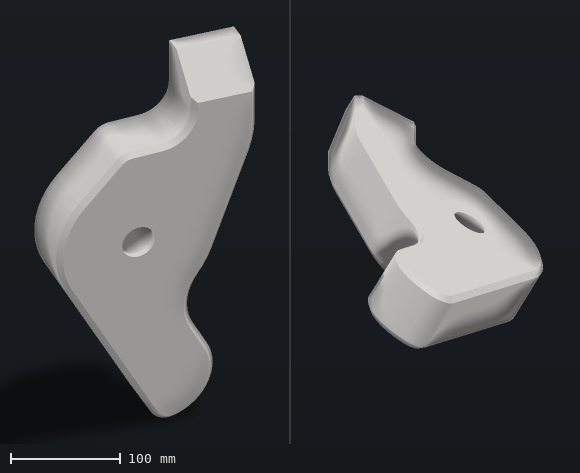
import cadquery as cq
import math

thickness = 60.0
pivot_diameter = 32.2
hub_radius = 80.0

back_y = 117.5
arm_front_y = 53.7
arm_top_front_z = 176.0
arm_top_back_z = 173.5
ledge_z = 99.8
back_bend_z = 84.5
back_slope = 20.5
hub_slope = 45.7

leg_slope = 28.0
heel_y = 25.7
heel_z = -158.5
heel_radius = 50.0
throat_radius = 50.0
throat_straight = 29.0

inner_radius = 29.5
ledge_radius = 20.0
back_radius = 99.8
elbow_radius = 99.8
toe_radius = 20.0

side_chamfer = 5.0
top_chamfer = 7.3
top_bevel = 37.2


def direction(degrees):
    """Unit vector in the YZ plane, measured from +Y towards +Z."""
    angle = math.radians(degrees)
    return cq.Vector(math.cos(angle), math.sin(angle))


def line_meets_circle(start, heading, center, radius, leaving=False):
    """Point where a line along a unit heading enters, or leaves, a circle."""
    along = (center - start).dot(heading)
    offset = (center - start - heading * along).Length
    half_chord = math.sqrt(radius**2 - offset**2)
    return start + heading * (along + half_chord if leaving else along - half_chord)


def yz(point):
    """Plain pair of Y and Z for a sketch call."""
    return (point.x, point.y)


hub_upper_normal = direction(90 + hub_slope)
leg_normal = direction(180 + leg_slope)
leg_up = direction(90 + leg_slope)
hub_upper = hub_upper_normal * hub_radius
hub_lower = leg_normal * hub_radius
hub_front = cq.Vector(-hub_radius, 0)
ledge_end_y = (hub_radius - ledge_z * hub_upper_normal.y) / hub_upper_normal.x

heel = cq.Vector(heel_y, heel_z)
heel_tangent = heel - leg_normal * heel_radius
throat_tangent = heel_tangent + leg_up * throat_straight
throat = throat_tangent - leg_normal * throat_radius
leg_tip = line_meets_circle(hub_lower, leg_up * -1, heel, heel_radius, leaving=True)
heel_back = heel + direction(-60) * heel_radius

back_bend = cq.Vector(back_y, back_bend_z)
back_heading = direction(-90 - back_slope)
elbow = line_meets_circle(back_bend, back_heading, throat, throat_radius)
throat_mid = throat + direction(180) * throat_radius

arm_top_back = cq.Vector(back_y, arm_top_back_z)
arm_top_front = cq.Vector(arm_front_y, arm_top_front_z)
inner_corner = cq.Vector(arm_front_y, ledge_z)
ledge_end = cq.Vector(ledge_end_y, ledge_z)


def round_corner(body, corner, radius):
    """Round the edge along X that passes through an outline corner."""
    edge = cq.selectors.NearestToPointSelector((thickness / 2, corner.x, corner.y))
    return body.edges("|X").edges(edge).fillet(radius)


plate = (
    cq.Workplane("YZ")
    .moveTo(*yz(arm_top_back))
    .lineTo(*yz(arm_top_front))
    .lineTo(*yz(inner_corner))
    .lineTo(*yz(ledge_end))
    .lineTo(*yz(hub_upper))
    .threePointArc(yz(hub_front), yz(hub_lower))
    .lineTo(*yz(leg_tip))
    .threePointArc(yz(heel_back), yz(heel_tangent))
    .lineTo(*yz(throat_tangent))
    .threePointArc(yz(throat_mid), yz(elbow))
    .lineTo(*yz(back_bend))
    .close()
    .extrude(thickness)
)

for corner, radius in (
    (inner_corner, inner_radius),
    (ledge_end, ledge_radius),
    (leg_tip, toe_radius),
    (elbow, elbow_radius),
    (back_bend, back_radius),
):
    plate = round_corner(plate, corner, radius)

top_mid = (arm_top_back + arm_top_front) * 0.5
for side, x in (("<X", 0), (">X", thickness)):
    top_edge = cq.selectors.NearestToPointSelector((x, top_mid.x, top_mid.y))
    outline = plate.faces(side).edges(cq.selectors.InverseSelector(top_edge))
    plate = outline.chamfer(side_chamfer)


def top_wedge(side_x, inward, size):
    """45 degree wedge along the sloping top edge, at one side of the plate."""
    slope = (arm_top_front_z - arm_top_back_z) / (back_y - arm_front_y)
    front_y = -hub_radius
    length = back_y - front_y
    front_z = arm_top_front_z + slope * (arm_front_y - front_y)
    return (
        cq.Workplane("XZ", origin=(side_x, front_y, front_z))
        .polyline([(0, -size), (inward * size, 0), (0, 0)])
        .close()
        .sweep(cq.Workplane("YZ").lineTo(length, -slope * length))
    )


plate = plate.cut(top_wedge(0, 1, top_chamfer))
plate = plate.cut(top_wedge(thickness, -1, top_bevel))

pivot_hole = cq.Workplane("YZ").circle(pivot_diameter / 2).extrude(thickness)
result = plate.cut(pivot_hole)